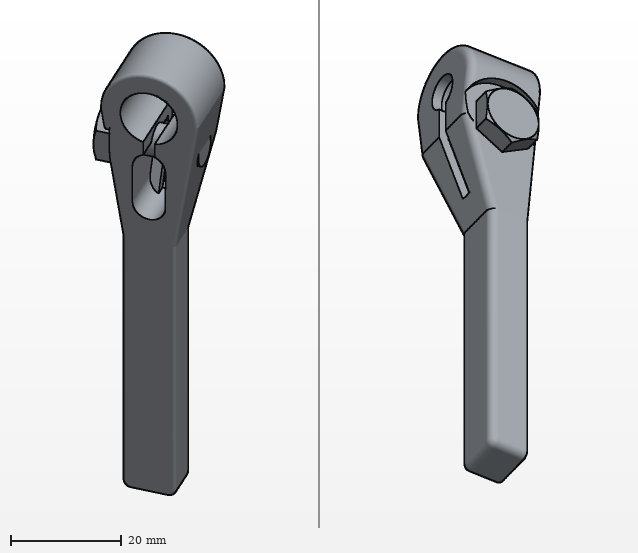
import cadquery as cq
import math

hub_radius = 9.5
hub_depth = 15.3
handle_width = 10.2
handle_depth = 8.1
total_height = 92.1
handle_bottom = hub_radius - total_height
taper_bottom = -27.3
slope_top = -9.85
back_taper = (hub_depth - handle_depth) / (slope_top - taper_bottom)
joint_overlap = 4.6
back_fillet = 1.6
front_fillet = 0.6
corner_fillet = 1.6

bore_radius = 5.5
shaft_radius = 3.5
back_wall = 2.0
slot_width = 2.2
pocket_width = 6.35
pocket_upper_center = -11.2
pocket_lower_center = -19.1

screw_y = 7.3
screw_z = -9.6
screw_radius = 3.2
screw_tip_x = 8.1
seat_x = -7.6
seat_radius = 9.0
head_height = 3.8
head_across_flats = 11.05
head_chamfer_angle = 30
head_face_radius = 5.4


def extrude_back(sketch, depth):
    """Extrude a sketch drawn on an XZ plane towards +Y."""
    return sketch.extrude(-depth)


def side_prism(points):
    """Extrude a closed YZ outline across the full width of the lever."""
    return cq.Workplane("YZ").polyline(points).close().extrude(hub_radius, both=True)


def round_rims(solid):
    """Round the outer edges of the back faces, then those of the front face."""
    least_back_normal = 0.5
    back_faces = solid.faces().filter(lambda face: face.normalAt().y > least_back_normal)
    rounded = back_faces.edges("(not |X) or <Z").fillet(back_fillet)
    return rounded.faces("<Y").edges().fillet(front_fillet)


def head():
    """Hub whose sides and back converge until they end inside the handle."""
    end_z = taper_bottom - joint_overlap
    side_taper = (hub_radius - handle_width / 2) / -taper_bottom
    end_half_width = handle_width / 2 - side_taper * joint_overlap
    end_depth = handle_depth - back_taper * joint_overlap
    outline = (
        cq.Workplane("XZ")
        .moveTo(-hub_radius, 0)
        .threePointArc((0, hub_radius), (hub_radius, 0))
        .lineTo(end_half_width, end_z)
        .lineTo(-end_half_width, end_z)
        .close()
    )
    side_profile = side_prism([
        (0, hub_radius),
        (hub_depth, hub_radius),
        (hub_depth, slope_top),
        (end_depth, end_z),
        (0, end_z),
    ])
    return round_rims(extrude_back(outline, hub_depth).intersect(side_profile))


def handle():
    """Straight bar that starts inside the head, with rounded bottom corners."""
    length = taper_bottom + joint_overlap - handle_bottom
    bar = (
        cq.Workplane("XY", origin=(0, 0, handle_bottom))
        .box(handle_width, handle_depth, length, centered=(True, False, False))
        .edges("|Y and <Z")
        .fillet(corner_fillet)
    )
    return round_rims(bar)


def pocket_room():
    """Space in front of the back wall, which follows the sloping back."""
    slope_angle = math.atan(back_taper)
    flat_floor = hub_depth - back_wall
    slope_start = slope_top + back_wall * math.tan(slope_angle / 2)
    return side_prism([
        (0, hub_radius),
        (flat_floor, hub_radius),
        (flat_floor, slope_start),
        (0, slope_start - flat_floor / back_taper),
    ])


def clamping_cuts():
    """Blind bore and pocket, plus the smaller shaft hole and slot that pass right through."""
    bore = extrude_back(cq.Workplane("XZ").circle(bore_radius), hub_depth)
    pocket_length = pocket_upper_center - pocket_lower_center + pocket_width
    pocket = extrude_back(
        cq.Workplane("XZ")
        .center(0, (pocket_upper_center + pocket_lower_center) / 2)
        .slot2D(pocket_length, pocket_width, 90),
        hub_depth,
    )
    blind_cuts = bore.union(pocket).intersect(pocket_room())
    shaft_hole = extrude_back(cq.Workplane("XZ").circle(shaft_radius), hub_depth)
    pocket_radius = pocket_width / 2
    half_slot = slot_width / 2
    slot_end = pocket_lower_center - math.sqrt(pocket_radius**2 - half_slot**2)
    slot = extrude_back(
        cq.Workplane("XZ")
        .moveTo(half_slot, 0)
        .lineTo(half_slot, slot_end)
        .threePointArc((0, pocket_lower_center - pocket_radius), (-half_slot, slot_end))
        .lineTo(-half_slot, 0)
        .close(),
        hub_depth,
    )
    return blind_cuts.union(shaft_hole).union(slot)


def screw_axis_plane(x):
    return cq.Workplane("YZ", origin=(x, screw_y, screw_z))


def screw():
    """Shank through the slot and a hexagon head with chamfered outer corners."""
    shank = screw_axis_plane(seat_x).circle(screw_radius).extrude(screw_tip_x - seat_x)
    corner_radius = head_across_flats / 2 / math.cos(math.pi / 6)
    chamfer_width = corner_radius - head_face_radius
    chamfer_length = chamfer_width * math.tan(math.radians(head_chamfer_angle))
    hexagon = (
        screw_axis_plane(seat_x)
        .polygon(6, 2 * corner_radius)
        .extrude(-head_height)
        .rotate((0, screw_y, screw_z), (1, screw_y, screw_z), 90)
    )
    envelope = (
        screw_axis_plane(seat_x)
        .circle(corner_radius)
        .extrude(-head_height)
        .faces("<X")
        .chamfer(chamfer_length, chamfer_width)
    )
    return shank.union(hexagon.intersect(envelope))


seat_cut = screw_axis_plane(seat_x).circle(seat_radius).extrude(-head_height)
result = head().union(handle()).cut(clamping_cuts()).cut(seat_cut).union(screw())